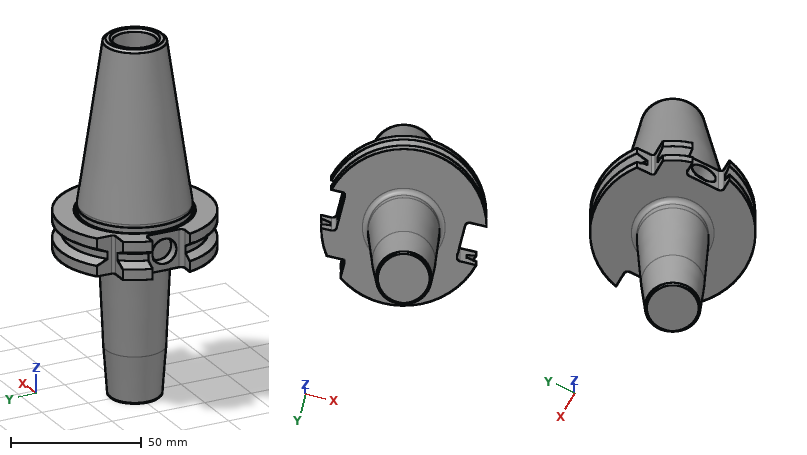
import cadquery as cq
import math

total_height = 148.4
gauge_height = 80.0
flange_top = 76.9
flange_bottom = 61.0
flange_middle = (flange_top + flange_bottom) / 2

gauge_radius = 22.3
taper_ratio = 7 / 24
taper_tip_radius = gauge_radius - (total_height - gauge_height) * taper_ratio / 2
tip_chamfer = 1.0
collar_undercut = 0.1
undercut_height = 1.8
recess_radius = 23.5
recess_depth = 0.5

flange_radius = 31.8
groove_radius = 28.2
groove_floor_width = 3.0
groove_slope = math.tan(math.radians(30))
groove_floor_half = groove_floor_width / 2
groove_mouth_half = groove_floor_half + (flange_radius - groove_radius) * groove_slope

neck_radius = 13.8
neck_fillet = 2.1
neck_bottom = 55.8
nose_break_height = 20.5
nose_break_radius = 12.2
nose_end_radius = 10.7
nose_chamfer = 0.7

slot_width = 16.0
slot_corner_radius = 1.6
left_slot_floor = 25.0
right_slot_floor = 22.7
notch_x = -18.5
notch_y = 18.4
notch_corner_radius = 1.0

side_hole_radius = 5.2
side_hole_depth = 4.5

mouth_radius = 9.6
counterbore_radius = 8.6
counterbore_depth = 8.2
bore_radius = 7.0
bore_depth = 32.0
bore_tip_length = bore_radius / math.tan(math.radians(59))
bore_lead_in = (counterbore_radius - bore_radius) * math.tan(math.radians(30))


def make_body():
    """Revolve the outside: nose, neck, grooved flange, undercut collar in its face recess, and taper."""
    fillet_middle = neck_fillet * (1 - math.sqrt(0.5))
    undercut_radius = gauge_radius - collar_undercut
    profile = (
        cq.Workplane("XZ")
        .lineTo(nose_end_radius - nose_chamfer, 0)
        .lineTo(nose_end_radius, nose_chamfer)
        .lineTo(nose_break_radius, nose_break_height)
        .lineTo(neck_radius, neck_bottom)
        .lineTo(neck_radius, flange_bottom - neck_fillet)
        .threePointArc(
            (neck_radius + fillet_middle, flange_bottom - fillet_middle),
            (neck_radius + neck_fillet, flange_bottom),
        )
        .lineTo(flange_radius, flange_bottom)
        .lineTo(flange_radius, flange_middle - groove_mouth_half)
        .lineTo(groove_radius, flange_middle - groove_floor_half)
        .lineTo(groove_radius, flange_middle + groove_floor_half)
        .lineTo(flange_radius, flange_middle + groove_mouth_half)
        .lineTo(flange_radius, flange_top)
        .lineTo(recess_radius, flange_top)
        .lineTo(recess_radius - recess_depth, flange_top - recess_depth)
        .lineTo(undercut_radius, flange_top - recess_depth)
        .lineTo(undercut_radius, flange_top + undercut_height)
        .lineTo(gauge_radius, flange_top + undercut_height + collar_undercut)
        .lineTo(gauge_radius, gauge_height)
        .lineTo(taper_tip_radius + tip_chamfer * taper_ratio / 2, total_height - tip_chamfer)
        .lineTo(taper_tip_radius - tip_chamfer, total_height)
        .lineTo(0, total_height)
        .close()
    )
    return profile.revolve(360, (0, 0), (0, 1))


def make_bore():
    """Revolve the chamfered counterbore and the blind drilled hole below it."""
    mouth_chamfer = mouth_radius - counterbore_radius
    shoulder = total_height - counterbore_depth
    bore_bottom = total_height - bore_depth
    profile = (
        cq.Workplane("XZ")
        .moveTo(0, total_height)
        .lineTo(mouth_radius, total_height)
        .lineTo(counterbore_radius, total_height - mouth_chamfer)
        .lineTo(counterbore_radius, shoulder)
        .lineTo(bore_radius, shoulder - bore_lead_in)
        .lineTo(bore_radius, bore_bottom)
        .lineTo(0, bore_bottom - bore_tip_length)
        .close()
    )
    return profile.revolve(360, (0, 0), (0, 1))


def flange_cutter(x_min, x_max, y_min, y_max):
    """Block as tall as the flange, for cutting a slot or notch through it."""
    return (
        cq.Workplane("XY", origin=(0, 0, flange_bottom))
        .center((x_min + x_max) / 2, (y_min + y_max) / 2)
        .rect(x_max - x_min, y_max - y_min)
        .extrude(flange_top - flange_bottom)
    )


def make_slot(floor, side):
    """Drive slot with rounded inner corners; side is +1 for +X and -1 for -X."""
    x_min, x_max = sorted((side * floor, side * (flange_radius + 1.5)))
    inner_edges = "|Z and <X" if side > 0 else "|Z and >X"
    slot = flange_cutter(x_min, x_max, -slot_width / 2, slot_width / 2)
    return slot.edges(inner_edges).fillet(slot_corner_radius)


def make_notch():
    """Orientation notch, open to the rim, with one rounded inner corner."""
    notch = flange_cutter(-flange_radius, notch_x, notch_y, flange_radius)
    return notch.edges("|Z and >X and <Y").fillet(notch_corner_radius)


def make_side_hole():
    """Flat-bottomed blind hole running in +X from the left slot floor."""
    return (
        cq.Workplane("YZ", origin=(-left_slot_floor, 0, flange_middle))
        .circle(side_hole_radius)
        .extrude(side_hole_depth)
    )


result = (
    make_body()
    .cut(make_bore())
    .cut(make_slot(left_slot_floor, -1))
    .cut(make_slot(right_slot_floor, 1))
    .cut(make_notch())
    .cut(make_side_hole())
)